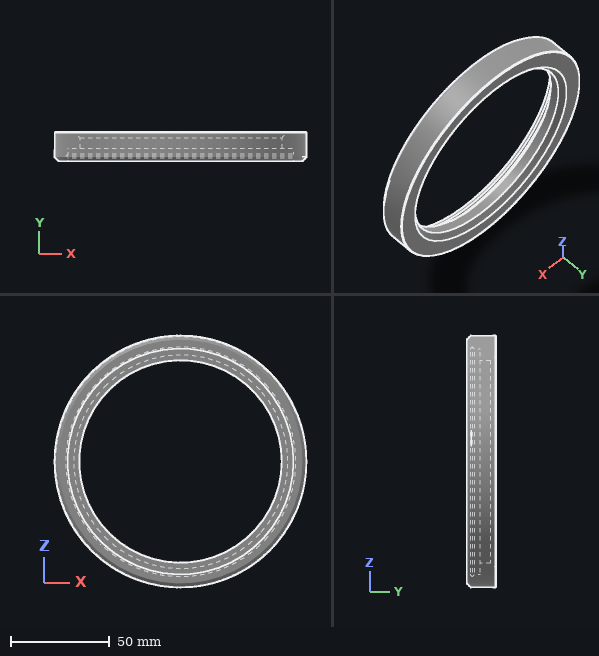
import cadquery as cq

outer_radius = 63.7
width = 14.9
bore_radius = 51.1
counterbore_radius = 57.1
counterbore_depth = 6.6

front_chamfer = 2.0
front_edge_round = 0.4
back_chamfer = 0.4
bore_back_chamfer = 2.9

groove_depth = 1.0
groove_start = 1.7
groove_root = groove_start + groove_depth
groove_end = groove_root + groove_depth


def ring_body():
    """Solid disc with a softened chamfer in front and a small one behind."""
    body = cq.Workplane("XZ").circle(outer_radius).extrude(-width)
    body = body.faces("<Y").edges().chamfer(front_chamfer)
    rim = cq.selectors.BoxSelector(
        (-outer_radius, -front_chamfer, -outer_radius),
        (outer_radius, 2 * front_chamfer, outer_radius),
    )
    body = body.edges("%CIRCLE").edges(rim).fillet(front_edge_round)
    return body.faces(">Y").edges().chamfer(back_chamfer)


def stepped_opening():
    """Counterbore with its V groove, the bore, and the bore's flared back end."""
    half_section = (
        cq.Workplane("XY")
        .lineTo(counterbore_radius, 0)
        .lineTo(counterbore_radius, groove_start)
        .lineTo(counterbore_radius + groove_depth, groove_root)
        .lineTo(counterbore_radius, groove_end)
        .lineTo(counterbore_radius, counterbore_depth)
        .lineTo(bore_radius, counterbore_depth)
        .lineTo(bore_radius, width - bore_back_chamfer)
        .lineTo(bore_radius + bore_back_chamfer, width)
        .lineTo(0, width)
        .close()
    )
    return half_section.revolve(360, (0, 0, 0), (0, 1, 0))


result = ring_body().cut(stepped_opening())